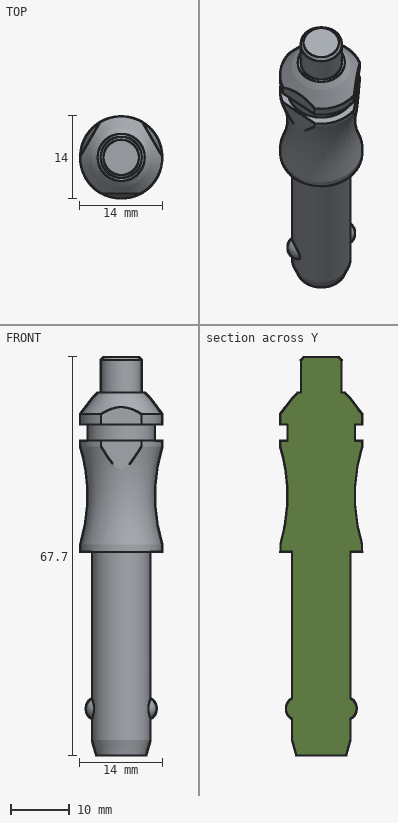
import cadquery as cq


shank_radius = 5.0
tip_radius = 4.25
tip_height = 2.65
shank_length = 34.6

ball_radius = 2.0
ball_reach = 6.05
ball_height = 8.0

grip_radius = 7.0
waist_radius = 5.75
lower_band_height = 1.2
waist_half_height = 8.35
upper_band_height = 1.0

groove_radius = waist_radius
groove_height = 2.7
collar_band_height = 1.8
collar_cone_height = 2.65
collar_shoulder_radius = 5.0
collar_rim_radius = 4.2
collar_shoulder_height = 0.85
collar_rim_chamfer = 0.2

button_radius = 3.5
button_height = 6.0
button_chamfer = 0.5

flat_count = 3
flat_distance = 6.1
first_flat_angle = -90.0

grip_curve_bottom = shank_length + lower_band_height
waist_level = grip_curve_bottom + waist_half_height
grip_curve_top = waist_level + waist_half_height
grip_top = grip_curve_top + upper_band_height
collar_bottom = grip_top + groove_height
collar_band_top = collar_bottom + collar_band_height
collar_shoulder = collar_band_top + collar_cone_height
collar_rim = collar_shoulder + collar_shoulder_height
collar_top = collar_rim + collar_rim_chamfer
button_top = collar_top + button_height


def make_body():
    """Revolve the half profile of the whole pin about Z."""
    profile = (
        cq.Workplane("XZ")
        .moveTo(0, 0)
        .lineTo(tip_radius, 0)
        .lineTo(shank_radius, tip_height)
        .lineTo(shank_radius, shank_length)
        .lineTo(grip_radius, shank_length)
        .lineTo(grip_radius, grip_curve_bottom)
        .threePointArc((waist_radius, waist_level), (grip_radius, grip_curve_top))
        .lineTo(grip_radius, grip_top)
        .lineTo(groove_radius, grip_top)
        .lineTo(groove_radius, collar_bottom)
        .lineTo(grip_radius, collar_bottom)
        .lineTo(grip_radius, collar_band_top)
        .lineTo(collar_shoulder_radius, collar_shoulder)
        .lineTo(collar_rim_radius, collar_rim)
        .lineTo(collar_rim_radius - collar_rim_chamfer, collar_top)
        .lineTo(button_radius, collar_top)
        .lineTo(button_radius, button_top - button_chamfer)
        .lineTo(button_radius - button_chamfer, button_top)
        .lineTo(0, button_top)
        .close()
    )
    return profile.revolve(360, (0, 0, 0), (0, 1, 0))


def add_balls(body):
    """Add the two locking balls on opposite sides of the shank."""
    ball_offset = ball_reach - ball_radius
    for side in (-1, 1):
        ball = cq.Workplane("XY").sphere(ball_radius)
        body = body.union(ball.translate((side * ball_offset, 0, ball_height)))
    return body


def cut_flats(body):
    """Cut the flats running from the waist of the grip up over the collar."""
    cutter_depth = grip_radius
    cutter = cq.Workplane("XY").box(
        cutter_depth,
        2 * grip_radius,
        collar_top - waist_level,
        centered=(False, True, False),
    ).translate((flat_distance, 0, waist_level))
    for index in range(flat_count):
        angle = first_flat_angle + index * 360 / flat_count
        body = body.cut(cutter.rotate((0, 0, 0), (0, 0, 1), angle))
    return body


result = cut_flats(add_balls(make_body()))